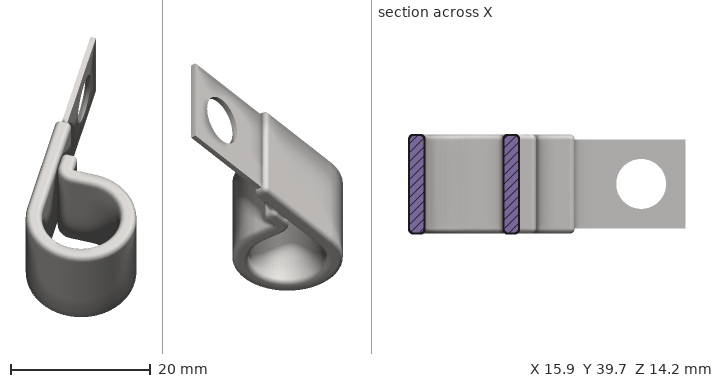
import cadquery as cq


strap_width = 12.7
strap_thickness = 0.81
strap_end_y = 31.745
hole_diameter = 7.14
hole_edge_distance = 6.35

cushion_width = 14.22
cushion_cover = (cushion_width - strap_width) / 2
cushion_thickness = strap_thickness + 2 * cushion_cover
edge_radius = cushion_cover
loop_outer_radius = 15.85 / 2
leg_end_y = 15.875

foot_end_y = 10.36
foot_gap = 0.08

loop_radius = loop_outer_radius - cushion_thickness / 2
leg_x = -loop_radius
foot_x = leg_x + cushion_thickness + foot_gap
bend_radius = cushion_thickness / 2
bend_x = foot_x + bend_radius
bend_y = loop_radius + bend_radius
loop_angle = 270
bend_angle = 90


def cushion_section():
    """Rounded cushion cross-section, centred on the sketch origin."""
    return cq.Sketch().rect(cushion_thickness, cushion_width).vertices().fillet(edge_radius)


def rounded_end_bar(x, y_start, y_end):
    """Straight bar along +Y, rounded on every edge except around its start face."""
    length = y_end - y_start
    bar = cq.Workplane("XY").box(cushion_thickness, length, cushion_width)
    bar = bar.edges("not <Y").fillet(edge_radius)
    return bar.translate((x, y_start + length / 2, 0))


def curved_bar(center_x, center_y, radius, angle):
    """Cushion section turned counter-clockwise about a Z axis, starting on its -X side."""
    return (
        cq.Workplane("XZ", origin=(center_x, center_y, 0))
        .center(-radius, 0)
        .placeSketch(cushion_section())
        .revolve(angle, (radius, 0, 0), (radius, 1, 0))
    )


def bare_strap():
    """Exposed strap end with its mounting hole."""
    length = strap_end_y - leg_end_y
    strap = cq.Workplane("XY").box(strap_thickness, length, strap_width)
    strap = strap.translate((leg_x, leg_end_y + length / 2, 0))
    hole = (
        cq.Workplane("YZ", origin=(leg_x, 0, 0))
        .center(strap_end_y - hole_edge_distance, 0)
        .circle(hole_diameter / 2)
        .extrude(strap_thickness, both=True)
    )
    return strap.cut(hole)


def bridge():
    """Straight run from the top of the loop to the foot bend."""
    return (
        cq.Workplane("YZ", origin=(bend_x, 0, 0))
        .center(loop_radius, 0)
        .placeSketch(cushion_section())
        .extrude(-bend_x)
    )


leg = rounded_end_bar(leg_x, 0, leg_end_y)
loop = curved_bar(0, 0, loop_radius, loop_angle)
foot_bend = curved_bar(bend_x, bend_y, bend_radius, bend_angle)
foot = rounded_end_bar(foot_x, bend_y, foot_end_y)

result = leg.union(loop).union(bridge()).union(foot_bend).union(foot).union(bare_strap())